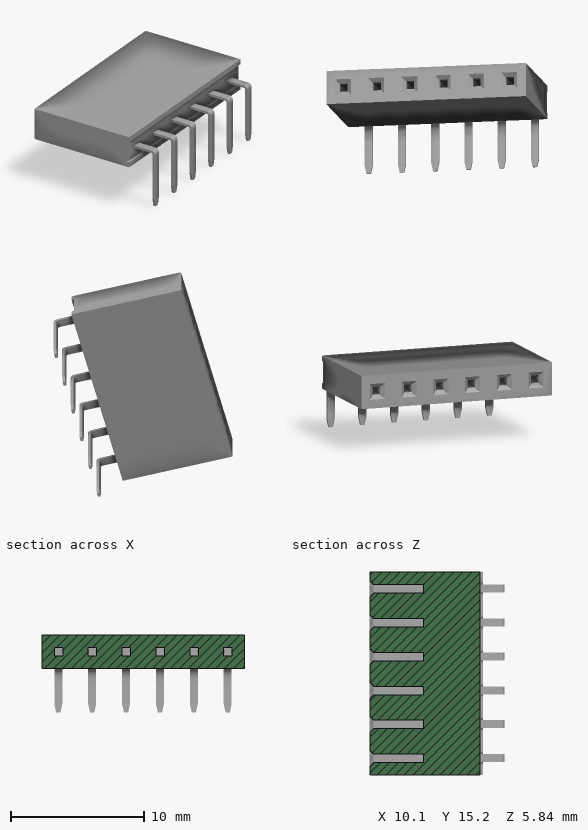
import cadquery as cq

contact_count = 6
pitch = 2.54
housing_length = 8.5
housing_width = contact_count * pitch
housing_height = pitch
contact_height = housing_height / 2

channel_depth = 0.2
lip_height = 0.42

mouth_size = 1.2
bore_size = 0.6
mouth_depth = (mouth_size - bore_size) / 2
bore_end = 4.0

pin_width = 0.6
pin_thickness = 0.2
pin_reach = 10.13
pin_drop = 3.3
pin_start = 3.0
bend_outer_radius = 0.3
bend_inner_radius = bend_outer_radius - pin_thickness
tip_length = 0.63
tip_width = 0.33
lead_length = 0.2
lead_width = 0.5

pin_top = contact_height + pin_thickness / 2
pin_underside = contact_height - pin_thickness / 2


def make_housing():
    """Block with its front face at X = 0, its base at Z = 0, and centred on Y."""
    block = cq.Workplane("XY").box(
        housing_length, housing_width, housing_height, centered=(False, True, False)
    )
    channel = (
        cq.Workplane("XY")
        .box(
            channel_depth,
            housing_width,
            housing_height - 2 * lip_height,
            centered=(False, True, False),
        )
        .translate((housing_length - channel_depth, 0, lip_height))
    )
    return block.cut(channel)


def make_socket(y):
    """Square bore with a tapered lead-in, opening on the front face."""
    mouth = (
        cq.Workplane("YZ")
        .center(y, contact_height)
        .rect(mouth_size, mouth_size)
        .workplane(offset=mouth_depth)
        .rect(bore_size, bore_size)
        .loft(ruled=True)
    )
    bore = (
        cq.Workplane("YZ", origin=(mouth_depth, y, contact_height))
        .rect(bore_size, bore_size)
        .extrude(bore_end - mouth_depth)
    )
    return mouth.union(bore)


def make_pin(y):
    """Flat strip running back from the socket, bent down, with both ends narrowed."""
    strip = (
        cq.Workplane("XZ", origin=(0, y + pin_width / 2, 0))
        .moveTo(pin_start, pin_top)
        .lineTo(pin_reach - bend_outer_radius, pin_top)
        .radiusArc((pin_reach, pin_top - bend_outer_radius), bend_outer_radius)
        .lineTo(pin_reach, -pin_drop)
        .lineTo(pin_reach - pin_thickness, -pin_drop)
        .lineTo(pin_reach - pin_thickness, pin_underside - bend_inner_radius)
        .radiusArc((pin_reach - bend_outer_radius, pin_underside), -bend_inner_radius)
        .lineTo(pin_start, pin_underside)
        .close()
        .extrude(pin_width)
    )
    for side in (-1, 1):
        strip = strip.cut(make_tip_corner(y, side))
        strip = strip.cut(make_lead_corner(y, side))
    return strip


def make_tip_corner(y, side):
    """Wedge trimmed from one edge of the pin's lower tip."""
    edge_y = y + side * pin_width / 2
    return (
        cq.Workplane("YZ", origin=(pin_reach - pin_thickness, 0, 0))
        .moveTo(edge_y, -pin_drop)
        .lineTo(y + side * tip_width / 2, -pin_drop)
        .lineTo(edge_y, -pin_drop + tip_length)
        .close()
        .extrude(pin_thickness)
    )


def make_lead_corner(y, side):
    """Wedge trimmed from one edge of the pin's end inside the socket."""
    edge_y = y + side * pin_width / 2
    return (
        cq.Workplane("XY", origin=(0, 0, pin_underside))
        .moveTo(pin_start, edge_y)
        .lineTo(pin_start, y + side * lead_width / 2)
        .lineTo(pin_start + lead_length, edge_y)
        .close()
        .extrude(pin_thickness)
    )


contact_positions = [(i - (contact_count - 1) / 2) * pitch for i in range(contact_count)]

result = make_housing()
for contact_y in contact_positions:
    result = result.cut(make_socket(contact_y))
for contact_y in contact_positions:
    result = result.union(make_pin(contact_y))